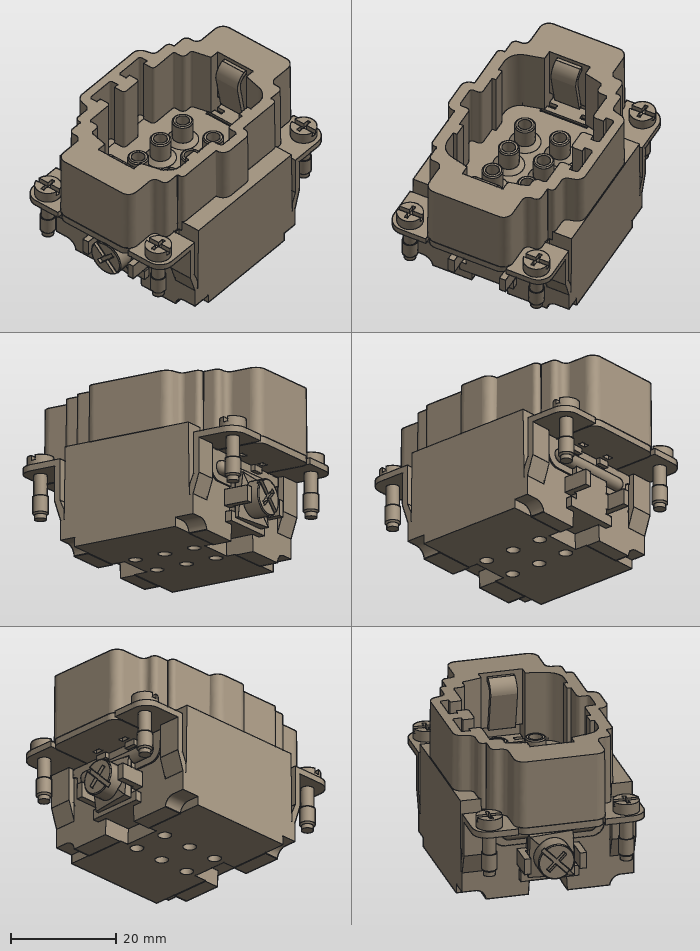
import cadquery as cq
import math

top_z = 31.95
wing_top_z = 20.5
flange_top_z = 18.3
flange_bottom_z = 17.05
lip_bottom_z = 16.9
floor_z = 17.85
pin_top_z = 22.65
clip_top_z = 31.1
clip_bottom_z = 20.5
leg_bend_z = 10.05
leg_foot_z = 7.9
wing_step_z = 6.0
wing_bottom_z = 0.15

half_width = 17.0
half_length = 25.0
core_half_width = 12.25
core_half_length = 15.1
wing_half_length = 14.0
wing_foot_half_length = 14.25
corner_notch_length = 3.2
clamp_notch_length = 4.05
corner_notch_height = 2.0
corner_notch_arc_radius = 2.2

shroud_draft = 0.5
lip_half_width = 8.6
lip_corner_radius = 2.0
window_half_width = 4.35
window_start_y = 15.25
window_end_y = 18.0
undercut_end_y = 19.5
relief_half_width = 5.0
relief_end_y = 15.9
floor_step = 0.5
window_hole_y = 17.0
clip_half_width = 2.65
slot_inner_x = 13.2
slot_outer_x = 14.95
slot_corner_radius = 0.5

pin_x = 3.75
pin_pitch_y = 6.7
pin_radius = 2.0
pin_hole_radius = 1.3
pin_foot_radius = 3.05
pin_foot_height = 0.75
pin_rim_chamfer = 0.25

flange_end_y = 24.95
leg_inner_y = 15.2
leg_outer_y = 16.45
flange_corner_radius = 3.0
screw_x = 13.55
screw_y = 21.9
head_radius = 2.55
head_slot_depth = 1.0
head_slot_width = 0.9
head_cross_width = 0.65
head_cross_length = 3.3
neck_radius = 1.3
thread_radius = 1.5
thread_chamfer = 0.35
thread_top_z = 12.75
thread_bottom_z = 9.1
tip_radius = 1.15
tip_bottom_z = 8.2

terminal_z = 8.8
clamp_half_size = 4.4
clamp_inner_y = 16.4
clamp_ridge_y = 18.2
clamp_corner_y = 17.1
clamp_head_radius = 3.6
clamp_head_end_y = 21.15
clamp_head_chamfer = 0.2
clamp_shank_radius = 1.5
clamp_slot_width = 0.9
clamp_slot_depth = 0.75
clamp_cross_length = 4.7
cheek_end_y = 20.4
cheek_inner_x = 4.85
cheek_outer_x = 6.15
cheek_bottom_z = 6.55
cheek_top_z = 9.75
ledge_half_width = 5.75
ledge_bottom_z = 3.4
ledge_top_z = 5.45
block_half_width = 4.35
block_top_z = 13.0
rib_x = 3.8
rib_width = 2.4
rib_end_y = 16.3
rib_bottom_z = 15.7
bar_radius = 1.375
bar_half_length = 8.0
bar_y = 15.65
bar_z = 13.5
pad_height = 0.3
wall_overlap = 0.5
groove_depth = 6.0


def box(x0, x1, y0, y1, z0, z1):
    """Axis-aligned box between two corners."""
    return cq.Workplane("XY").box(x1 - x0, y1 - y0, z1 - z0, centered=False).translate((x0, y0, z0))


def cylinder_z(x, y, radius, z0, z1):
    return cq.Workplane("XY", origin=(x, y, z0)).circle(radius).extrude(z1 - z0)


def profile_along_x(points, x0, x1):
    """Prism with a (y, z) section between two X positions."""
    return cq.Workplane("YZ", origin=(x0, 0, 0)).polyline(points).close().extrude(x1 - x0)


def on_both_ends(solid):
    return solid.union(solid.mirror("XZ"))


def rounded_outline(corners, z):
    """Closed wire through (x, y, radius) corners, each rounded by a tangent arc."""
    path = cq.Workplane("XY", origin=(0, 0, z))
    started = False
    for i, (x, y, radius) in enumerate(corners):
        before = corners[i - 1]
        after = corners[(i + 1) % len(corners)]
        corner = cq.Vector(x, y)
        to_before = (cq.Vector(before[0], before[1]) - corner).normalized()
        to_after = (cq.Vector(after[0], after[1]) - corner).normalized()
        half_angle = to_before.getAngle(to_after) / 2
        tangent = radius / math.tan(half_angle)
        bisector = (to_before + to_after).normalized()
        arc_start = (corner + to_before * tangent).toTuple()[:2]
        arc_mid = (corner + bisector * (radius / math.sin(half_angle) - radius)).toTuple()[:2]
        arc_end = (corner + to_after * tangent).toTuple()[:2]
        path = path.lineTo(*arc_start) if started else path.moveTo(*arc_start)
        started = True
        if radius > 0:
            path = path.threePointArc(arc_mid, arc_end)
    return path.close()


def symmetric_corners(right_side, left_side):
    """Full loop from the +Y halves: right side listed downward, left side listed downward."""
    right_low = [(x, -y, r) for x, y, r in reversed(right_side)]
    left_low = [(x, -y, r) for x, y, r in left_side]
    return right_side + right_low + left_low + list(reversed(left_side))


def make_corner_notches(length):
    """Arched cuts at the two lower corners of the +Y end."""
    notch = (
        cq.Workplane("XZ", origin=(0, core_half_length, 0))
        .moveTo(half_width, 0)
        .lineTo(half_width, corner_notch_height)
        .lineTo(core_half_width + corner_notch_height, corner_notch_height)
        .radiusArc((core_half_width, 0), -corner_notch_arc_radius)
        .close()
        .extrude(length)
    )
    return notch.union(notch.mirror("YZ"))


def make_housing():
    """Core block with two side wings, notched at the lower corners."""
    core = box(-core_half_width, core_half_width, -core_half_length, core_half_length, 0, flange_top_z)
    wing_right = [
        (wing_half_length, wing_top_z),
        (wing_foot_half_length, wing_step_z),
        (core_half_length, wing_step_z),
        (core_half_length, wing_bottom_z),
    ]
    wing_left = [(-y, z) for y, z in reversed(wing_right)]
    housing = core.union(profile_along_x(wing_right + wing_left, -half_width, half_width))
    foot_end = core_half_length - corner_notch_length
    clamp_foot_end = core_half_length - clamp_notch_length
    housing = housing.cut(box(-half_width, half_width, -clamp_foot_end, foot_end, 0, wing_bottom_z))
    notches = make_corner_notches(corner_notch_length)
    clamp_notches = make_corner_notches(clamp_notch_length).mirror("XZ")
    return housing.cut(notches).cut(clamp_notches)


def make_shroud():
    """Drafted collar around the contacts, standing on a flat lip."""
    right_side = [
        (9.05, 24.9, 2.05),
        (9.05, 17.7, 1.2),
        (12.0, 17.7, 1.2),
        (12.0, 14.2, 0),
        (13.35, 14.2, 1.0),
        (13.35, 4.2, 0),
        (15.4, 4.2, 1.95),
    ]
    left_side = [(-x, y, r) for x, y, r in right_side[:5]]
    left_side += [(-13.35, 10.1, 1.0), (-16.85, 9.2, 2.0)]
    outline = rounded_outline(symmetric_corners(right_side, left_side), flange_top_z)
    collar = outline.extrude(top_z - flange_top_z, taper=shroud_draft)
    lip = box(-lip_half_width, lip_half_width, -half_length, half_length, lip_bottom_z, flange_top_z)
    return collar.union(lip.edges("|Z").fillet(lip_corner_radius))


def make_cavity():
    """Keyed opening of the shroud with coding slots, and the clip windows."""
    right_side = [
        (window_half_width, 16.0, 0),
        (10.8, 14.4, 3.5),
        (10.8, 9.35, 0),
        (10.0, 9.35, 0),
        (10.0, 6.75, 0),
        (10.8, 6.75, 0),
        (10.8, 2.35, 0.75),
        (13.15, 2.35, 0.6),
    ]
    left_side = [
        (-window_half_width, 16.0, 0),
        (-8.4, 15.05, 0.5),
        (-8.4, 12.7, 1.0),
        (-10.8, 12.7, 0.4),
        (-10.8, 6.55, 0.65),
        (-slot_inner_x, 6.55, 0),
        (-slot_inner_x, 2.25, 0),
        (-10.8, 2.25, 0.65),
    ]
    outline = rounded_outline(symmetric_corners(right_side, left_side), floor_z)
    cavity = outline.extrude(top_z - floor_z)
    window = box(-window_half_width, window_half_width, window_start_y, window_end_y, floor_z, top_z)
    relief = box(
        -relief_half_width, relief_half_width, window_start_y, relief_end_y, floor_z - floor_step, floor_z
    )
    window = window.union(relief)
    window = window.union(
        box(-window_half_width, window_half_width, window_end_y, undercut_end_y, floor_z, clip_bottom_z)
    )
    hole = box(clip_half_width, window_half_width, window_hole_y, window_end_y, lip_bottom_z, floor_z)
    window = window.union(hole).union(hole.mirror("YZ"))
    slot = box(-slot_outer_x, -slot_inner_x, 1.25, 7.55, floor_z - floor_step, top_z)
    slot = slot.edges("|Z and <X").fillet(slot_corner_radius)
    return cavity.union(on_both_ends(window.union(slot)))


def make_clips():
    """Spring leaves standing in the windows, curled outward at the top."""
    leaf = (
        cq.Workplane("YZ", origin=(-clip_half_width, 0, 0))
        .moveTo(window_end_y, clip_top_z)
        .lineTo(17.3, clip_top_z)
        .threePointArc((15.9, 29.95), (15.3, 28.1))
        .lineTo(16.8, clip_bottom_z)
        .lineTo(17.6, clip_bottom_z)
        .lineTo(16.2, 28.1)
        .threePointArc((16.7, 29.6), (window_end_y, 30.2))
        .close()
        .extrude(2 * clip_half_width)
    )
    return on_both_ends(leaf)


def make_pin(x, y):
    """Contact sleeve with a flared foot."""
    section = [
        (0, floor_z),
        (pin_foot_radius, floor_z),
        (pin_radius, floor_z + pin_foot_height),
        (pin_radius, pin_top_z - pin_rim_chamfer),
        (pin_radius - pin_rim_chamfer, pin_top_z),
        (0, pin_top_z),
    ]
    return cq.Workplane("XZ").polyline(section).close().revolve(360, (0, 0), (0, 1)).translate((x, y, 0))


def make_bracket():
    """Corner bracket at +X +Y: flange outside, leg bent in against the housing."""
    flange = box(lip_half_width, half_width, leg_inner_y, flange_end_y, flange_bottom_z, flange_top_z)
    flange = flange.edges("|Z and >X and >Y").fillet(flange_corner_radius)
    leg = profile_along_x(
        [
            (leg_outer_y, flange_top_z),
            (leg_outer_y, leg_bend_z),
            (core_half_length, wing_step_z),
            (wing_foot_half_length, wing_step_z),
            (wing_foot_half_length, leg_foot_z),
            (leg_inner_y, leg_bend_z),
            (leg_inner_y, flange_top_z),
        ],
        core_half_width,
        half_width,
    )
    return flange.union(leg)


def make_mounting_screw(x, y):
    """Slotted and cross-recessed screw with a thicker threaded end and a pilot tip."""
    head = cylinder_z(x, y, head_radius, flange_top_z, wing_top_z)
    slot_z = wing_top_z - head_slot_depth
    slots = box(
        x - head_radius, x + head_radius, y - head_slot_width / 2, y + head_slot_width / 2, slot_z, wing_top_z
    ).union(
        box(
            x - head_cross_width / 2,
            x + head_cross_width / 2,
            y - head_cross_length / 2,
            y + head_cross_length / 2,
            slot_z,
            wing_top_z,
        )
    )
    neck = cylinder_z(x, y, neck_radius, thread_top_z, flange_top_z)
    thread = cylinder_z(x, y, thread_radius, thread_bottom_z, thread_top_z)
    thread = thread.faces("<Z").chamfer(thread_chamfer)
    tip = cylinder_z(x, y, tip_radius, tip_bottom_z, thread_bottom_z)
    return head.cut(slots).union(neck).union(thread).union(tip)


def make_end_wall_details():
    """Pad, round bar, ribs, ledge and cheeks standing on the +Y end wall."""
    wall = core_half_length - wall_overlap
    pad = (
        cq.Workplane("XZ", origin=(0, wall, 0))
        .moveTo(-core_half_width, lip_bottom_z)
        .lineTo(-core_half_width, 15.15)
        .threePointArc((-11.45, 14.95), (-11.1, 14.25))
        .lineTo(-11.1, 13.25)
        .threePointArc((-10.35, 11.5), (-8.6, 10.75))
        .lineTo(8.6, 10.75)
        .threePointArc((10.35, 11.5), (11.1, 13.25))
        .lineTo(11.1, 14.25)
        .threePointArc((11.45, 14.95), (core_half_width, 15.15))
        .lineTo(core_half_width, lip_bottom_z)
        .close()
        .extrude(-(wall_overlap + pad_height))
    )
    bar = cq.Workplane("YZ").circle(bar_radius).extrude(bar_half_length, both=True)
    for side in (-1, 1):
        bar = bar.union(cq.Workplane("XY").sphere(bar_radius).translate((side * bar_half_length, 0, 0)))
    details = pad.union(bar.translate((0, bar_y, bar_z)))

    rib = box(rib_x - rib_width / 2, rib_x + rib_width / 2, wall, rib_end_y, rib_bottom_z, lip_bottom_z)
    cheek = box(cheek_inner_x, cheek_outer_x, wall, cheek_end_y, cheek_bottom_z, cheek_top_z)
    root = box(block_half_width, cheek_inner_x, wall, leg_outer_y, cheek_bottom_z, cheek_top_z)
    side_details = rib.union(cheek).union(root)
    details = details.union(side_details).union(side_details.mirror("YZ"))

    ledge = box(-ledge_half_width, ledge_half_width, wall, leg_outer_y, ledge_bottom_z, ledge_top_z)
    block = box(-block_half_width, block_half_width, wall, leg_outer_y, ledge_top_z, block_top_z)
    details = details.union(ledge).union(block)
    return details


def make_end_groove():
    """Tapered groove under the ledge on the +Y end wall."""
    return (
        cq.Workplane("XZ", origin=(0, core_half_length, 0))
        .polyline([(-3.85, 0), (-3.65, ledge_bottom_z), (3.65, ledge_bottom_z), (3.85, 0)])
        .close()
        .extrude(groove_depth)
    )


def make_clamp():
    """Earth terminal on the -Y wall: plate folded along its diagonal under a cross-slotted screw."""
    s = clamp_half_size
    plate = box(-s, s, -clamp_ridge_y, -clamp_inner_y, terminal_z - s, terminal_z + s)
    diagonal = s * math.sqrt(2)
    fall = clamp_ridge_y - clamp_corner_y
    bevel = (
        cq.Workplane("XY")
        .polyline([(0, -clamp_ridge_y), (diagonal, -clamp_ridge_y), (diagonal, fall - clamp_ridge_y)])
        .close()
        .extrude(diagonal, both=True)
    )
    bevel = bevel.union(bevel.mirror("YZ")).rotate((0, 0, 0), (0, 1, 0), -45)
    plate = plate.cut(bevel.translate((0, 0, terminal_z)))

    front = cq.Workplane("XZ", origin=(0, -clamp_corner_y, terminal_z))
    head = front.circle(clamp_head_radius).extrude(clamp_head_end_y - clamp_corner_y)
    head = head.faces("<Y").chamfer(clamp_head_chamfer)
    slot_y = clamp_slot_depth - clamp_head_end_y
    half_slot = clamp_slot_width / 2
    half_cross = clamp_cross_length / 2
    slots = box(-half_slot, half_slot, -clamp_head_end_y, slot_y, -clamp_head_radius, clamp_head_radius)
    slots = slots.union(box(-half_cross, half_cross, -clamp_head_end_y, slot_y, -half_slot, half_slot))
    slots = slots.rotate((0, 0, 0), (0, 1, 0), -45).translate((0, 0, terminal_z))
    shank = cq.Workplane("XZ", origin=(0, wall_overlap - core_half_length, terminal_z))
    shank = shank.circle(clamp_shank_radius).extrude(clamp_corner_y - core_half_length + wall_overlap)
    return plate.union(head.cut(slots)).union(shank)


body = make_housing().union(make_shroud()).cut(make_cavity())
body = body.union(on_both_ends(make_end_wall_details()))
body = body.cut(on_both_ends(make_end_groove()))
body = body.union(make_clips()).union(make_clamp())

bracket = make_bracket()
bracket_pair = on_both_ends(bracket)
body = body.union(bracket_pair).union(bracket_pair.mirror("YZ"))

for screw_side in (-1, 1):
    for screw_end in (-1, 1):
        body = body.union(make_mounting_screw(screw_side * screw_x, screw_end * screw_y))

for row_x in (-pin_x, pin_x):
    for row_y in (-pin_pitch_y, 0, pin_pitch_y):
        body = body.union(make_pin(row_x, row_y))
        body = body.cut(cylinder_z(row_x, row_y, pin_hole_radius, 0, top_z))

result = body